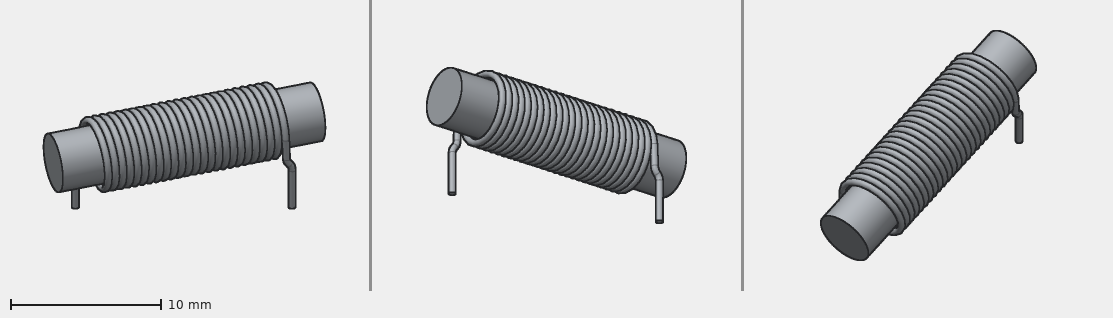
import cadquery as cq
import math

core_diameter = 4.0
core_length = 18.5

wire_diameter = 0.5
coil_outer_diameter = 5.2
coil_length = 12.75
turns = 24.5
coil_center_y = -0.05

tangent_drop = 1.6
bend_radius = 0.74
bend_angle = math.radians(43)
overall_height = 8.2

coil_radius = (coil_outer_diameter - wire_diameter) / 2
wire_radius = wire_diameter / 2
lead_bottom_z = coil_outer_diameter / 2 - overall_height
pitch = coil_length / turns
coil_start_y = coil_center_y - coil_length / 2
helix_angle = math.atan(pitch / (2 * math.pi * coil_radius))


def make_core():
    """Plain round rod centred on the origin."""
    return cq.Workplane("XZ").circle(core_diameter / 2).extrude(core_length / 2, both=True)


def make_winding():
    """Round wire swept along a right-handed helix that starts on the -X side at axis height."""
    helix_frame = cq.Plane(origin=(0, coil_start_y, 0), xDir=(-1, 0, 0), normal=(0, 1, 0))
    helix = cq.Wire.makeHelix(pitch, coil_length, coil_radius).moved(helix_frame.location)
    section_plane = cq.Plane(
        origin=(-coil_radius, coil_start_y, 0),
        xDir=(1, 0, 0),
        normal=(0, math.sin(helix_angle), math.cos(helix_angle)),
    )
    path = cq.Workplane(obj=helix)
    return cq.Workplane(section_plane).circle(wire_radius).sweep(path, isFrenet=True)


def bend_point(start, start_angle, end_angle):
    """Point reached from start along a bend; angles are measured from straight down towards -Y."""
    turn = math.copysign(1, end_angle - start_angle)
    outward = turn * bend_radius * (math.cos(start_angle) - math.cos(end_angle))
    drop = turn * bend_radius * (math.sin(end_angle) - math.sin(start_angle))
    return (start[0] - outward, start[1] - drop)


def make_front_lead():
    """Lead at the -X, -Y end of the coil, continuing the wire down from axis height."""
    coil_end = (coil_start_y, 0)
    bend_start = (coil_start_y - tangent_drop * math.tan(helix_angle), -tangent_drop)
    bend_middle = bend_point(bend_start, helix_angle, bend_angle)
    bend_end = bend_point(bend_middle, bend_angle, 0)
    first_arc_mid = bend_point(bend_start, helix_angle, (helix_angle + bend_angle) / 2)
    second_arc_mid = bend_point(bend_middle, bend_angle, bend_angle / 2)

    path = (
        cq.Workplane("YZ", origin=(-coil_radius, 0, 0))
        .moveTo(*coil_end)
        .lineTo(*bend_start)
        .threePointArc(first_arc_mid, bend_middle)
        .threePointArc(second_arc_mid, bend_end)
        .lineTo(bend_end[0], lead_bottom_z)
    )
    section_plane = cq.Plane(
        origin=(-coil_radius, coil_start_y, 0),
        xDir=(1, 0, 0),
        normal=(0, -math.sin(helix_angle), -math.cos(helix_angle)),
    )
    return cq.Workplane(section_plane).circle(wire_radius).sweep(path)


def make_coil():
    """One continuous wire: the winding and a lead at each end, half a turn apart about the vertical."""
    front_lead = make_front_lead()
    back_lead = front_lead.rotate((0, coil_center_y, 0), (0, coil_center_y, 1), 180)
    return make_winding().union(front_lead).union(back_lead)


core = make_core()
coil = make_coil()

result = cq.Compound.makeCompound([core.val(), *coil.solids().vals()])